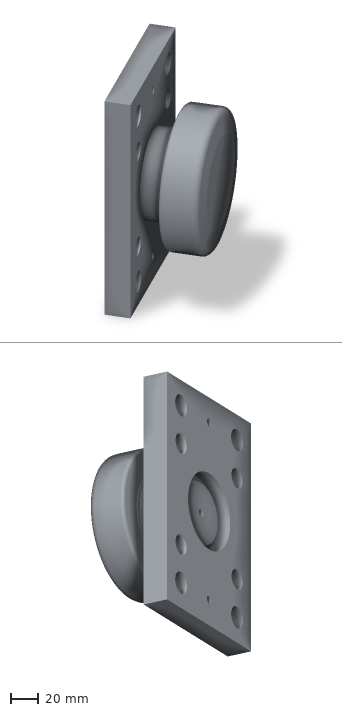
import cadquery as cq
import math

plate_thickness = 20.0
plate_width = 120.0
plate_height = 180.0

hole_side_offset = 40.0
outer_row_height = 70.0
inner_row_height = 40.0
clearance_radius = 8.5
tapped_radius = 7.2
tapped_mouth_radius = 8.0
dowel_radius = 3.0
countersink_angle = 60

bore_radius = 30.0
pin_end_depth = 6.8
pin_radius = 27.5
pin_end_radius = 23.8
pin_shoulder_depth = 11.2
grease_mouth_radius = 3.0
grease_radius = 1.8
grease_depth = 10.0

neck_radius = 35.5
collar_start = 38.5
collar_radius = 37.0
roller_start = 39.8
roller_radius = 55.8
roller_back_fillet = 2.5
roller_front_fillet = 4.5
total_length = 71.5
front_face_radius = 37.0
front_taper_drop = 2.3


def cylinder(radius, start, end, y=0, z=0):
    """Cylinder parallel to X, from start to end."""
    return cq.Workplane("YZ", origin=(start, y, z)).circle(radius).extrude(end - start)


def mouth_chamfer(mouth_radius, hole_radius, start, y=0, z=0):
    """Conical countersink cutter, wide at start and narrowing toward +X."""
    depth = (mouth_radius - hole_radius) / math.tan(math.radians(countersink_angle / 2))
    cone = cq.Solid.makeCone(mouth_radius, hole_radius, depth, cq.Vector(start, y, z), cq.Vector(1, 0, 0))
    return cq.Workplane(obj=cone)


def make_plate():
    plate = cq.Workplane("XY").box(
        plate_thickness, plate_width, plate_height, centered=(False, True, True)
    )
    plate = plate.cut(cylinder(bore_radius, 0, plate_thickness))
    for z_side in (-1, 1):
        outer_z = z_side * outer_row_height
        inner_z = z_side * inner_row_height
        plate = plate.cut(cylinder(dowel_radius, 0, plate_thickness, 0, outer_z))
        for y_side in (-1, 1):
            y = y_side * hole_side_offset
            plate = plate.cut(cylinder(clearance_radius, 0, plate_thickness, y, outer_z))
            plate = plate.cut(cylinder(tapped_radius, 0, plate_thickness, y, inner_z))
            plate = plate.cut(mouth_chamfer(tapped_mouth_radius, tapped_radius, 0, y, inner_z))
    return plate


def make_pin():
    """Pin filling the bore behind its shoulder, with a conical end."""
    shoulder = cylinder(bore_radius, pin_shoulder_depth, plate_thickness)
    end_cone = cq.Solid.makeCone(
        pin_end_radius,
        pin_radius,
        pin_shoulder_depth - pin_end_depth,
        cq.Vector(pin_end_depth, 0, 0),
        cq.Vector(1, 0, 0),
    )
    return shoulder.union(cq.Workplane(obj=end_cone))


def make_roller():
    """Roller with rounded rims and a front face that tapers away from a flat centre."""
    profile = (
        cq.Workplane("XY")
        .moveTo(roller_start, 0)
        .lineTo(roller_start, roller_radius)
        .lineTo(total_length - front_taper_drop, roller_radius)
        .lineTo(total_length, front_face_radius)
        .lineTo(total_length, 0)
        .close()
    )
    roller = profile.revolve(360, (0, 0, 0), (1, 0, 0))
    roller = roller.faces("<X").edges().fillet(roller_back_fillet)
    front_rim = cq.selectors.RadiusNthSelector(-1)
    return roller.edges(front_rim).edges(">X").fillet(roller_front_fillet)


neck = cylinder(neck_radius, plate_thickness, collar_start)
collar = cylinder(collar_radius, collar_start, roller_start)
result = make_plate().union(make_pin()).union(neck).union(collar).union(make_roller())

result = result.cut(cylinder(grease_radius, pin_end_depth, pin_end_depth + grease_depth))
result = result.cut(mouth_chamfer(grease_mouth_radius, grease_radius, pin_end_depth))